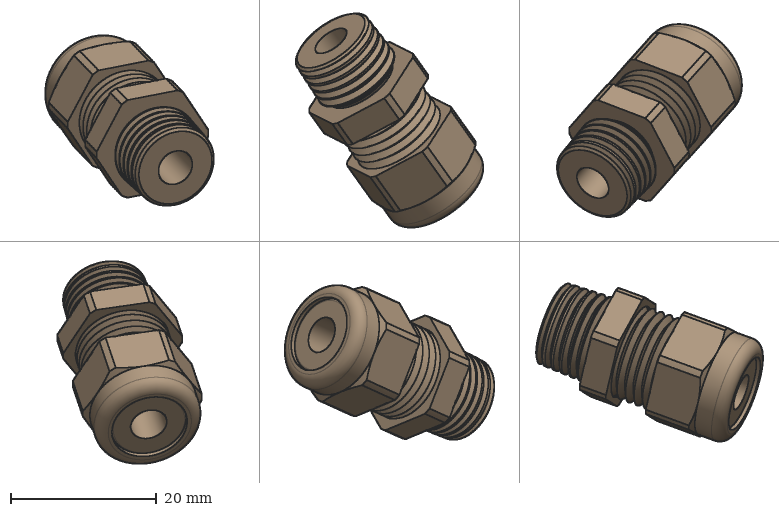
import cadquery as cq
import math


total_length = 28.95
across_flats = 15.0
across_corners = 16.77
bore_diameter = 5.07
cut_margin = 0.3

dome_fillet = 1.65
dome_length = 4.1
nut_end = 11.12
corner_chamfer_angle = 30.0

collar_start = 17.12
collar_length = 3.97

flank_angle = 60.0

nut_thread_pitch = 1.27
nut_thread_root_radius = 5.53
nut_thread_ridges = 6

entry_pitch = 1.3
entry_root_radius = 5.18
entry_ridges = 6
entry_neck_radius = 5.13
entry_first_root = 21.72
entry_lip_radius = 5.33
entry_lip_x = 21.55
taper_start_radius = 6.2
taper_end_radius = 5.9
end_chamfer_length = 0.32
end_chamfer_depth = 0.43

seal_diameter = 10.6
seal_recess = 0.52
seal_fillet = 0.25

hex_radius = across_flats / 2
corner_radius = across_corners / 2
collar_end = collar_start + collar_length
nut_thread_first_root = nut_end - nut_thread_pitch / 2


def cylinder(x_start, x_end, diameter):
    """Round bar along X."""
    return cq.Workplane("YZ", origin=(x_start, 0, 0)).circle(diameter / 2).extrude(x_end - x_start)


def revolve_profile(points):
    """Solid of revolution about X from (x, radius) points."""
    return cq.Workplane("XY").polyline(points).close().revolve(360, (0, 0, 0), (1, 0, 0))


def hex_prism(x_start, x_end):
    """Hex bar along X with flats facing up and down and trimmed corners."""
    sharp_corners = across_flats / math.cos(math.radians(30))
    prism = cq.Workplane("YZ", origin=(x_start, 0, 0)).polygon(6, sharp_corners).extrude(x_end - x_start)
    return prism.intersect(cylinder(x_start, x_end, across_corners))


def ridge_crest_radius(pitch, root_radius):
    """Radius of a sharp crest between two roots one pitch apart."""
    return root_radius + pitch / 2 * math.tan(math.radians(flank_angle))


def ridge_points(first_root, pitch, count, root_radius):
    """Roots and sharp crests of a row of thread ridges, as (x, radius) points."""
    crest_radius = ridge_crest_radius(pitch, root_radius)
    points = [(first_root, root_radius)]
    for ridge in range(count):
        root_x = first_root + ridge * pitch
        points.append((root_x + pitch / 2, crest_radius))
        points.append((root_x + pitch, root_radius))
    return points


def make_dome():
    dome = cylinder(0, dome_length, across_flats)
    return dome.faces("<X").edges().fillet(dome_fillet)


def make_nut_hex():
    """Hex of the nut, its front corners sloped down to the dome."""
    rise = corner_radius - hex_radius
    slope_length = rise * math.tan(math.radians(corner_chamfer_angle))
    envelope = revolve_profile([
        (dome_length, 0),
        (dome_length, hex_radius),
        (dome_length + slope_length, corner_radius),
        (nut_end, corner_radius),
        (nut_end, 0),
    ])
    return hex_prism(dome_length, nut_end).intersect(envelope)


def make_nut_thread():
    """Ridged thread whose first crest lies on the back face of the nut."""
    ridges = ridge_points(
        nut_thread_first_root, nut_thread_pitch, nut_thread_ridges, nut_thread_root_radius
    )
    last_root_x = ridges[-1][0]
    return revolve_profile([(nut_thread_first_root, 0)] + ridges + [(last_root_x, 0)])


def make_collar():
    """Hex collar; the last groove of the nut thread runs into its front face."""
    groove_root_x = nut_thread_first_root + (nut_thread_ridges - 1) * nut_thread_pitch
    crest_radius = ridge_crest_radius(nut_thread_pitch, nut_thread_root_radius)
    last_groove = revolve_profile([
        (groove_root_x - nut_thread_pitch / 2, crest_radius),
        (groove_root_x, nut_thread_root_radius),
        (groove_root_x + nut_thread_pitch / 2, crest_radius),
    ])
    return hex_prism(collar_start, collar_end).cut(last_groove)


def make_entry_thread():
    """Flared neck and ridged thread, with crests trimmed by a slight taper and a chamfered end."""
    ridges = ridge_points(entry_first_root, entry_pitch, entry_ridges, entry_root_radius)
    last_root_x = ridges[-1][0]
    thread = (
        cq.Workplane("XY")
        .moveTo(collar_end - cut_margin, entry_neck_radius)
        .lineTo(collar_end, entry_neck_radius)
        .tangentArcPoint((entry_lip_x, entry_lip_radius), relative=False)
        .polyline(ridges + [(last_root_x, 0), (collar_end - cut_margin, 0)], includeCurrent=True)
        .close()
        .revolve(360, (0, 0, 0), (1, 0, 0))
    )
    envelope = revolve_profile([
        (collar_end, 0),
        (collar_end, taper_start_radius),
        (total_length - end_chamfer_length, taper_end_radius),
        (total_length, taper_end_radius - end_chamfer_depth),
        (total_length, 0),
    ])
    return thread.intersect(envelope)


def make_housing():
    housing = (
        make_dome()
        .union(make_nut_hex())
        .union(make_nut_thread())
        .union(make_collar())
        .union(make_entry_thread())
    )
    seal_seat = cylinder(-cut_margin, nut_end, seal_diameter)
    cable_bore = cylinder(0, total_length + cut_margin, bore_diameter)
    return housing.cut(seal_seat).cut(cable_bore)


def make_seal():
    """Sleeve filling the seat, its outer front edge rounded."""
    seal = cylinder(seal_recess, nut_end, seal_diameter)
    seal = seal.faces("<X").edges().fillet(seal_fillet)
    return seal.cut(cylinder(0, total_length, bore_diameter))


housing = make_housing()
seal = make_seal()

result = cq.Compound.makeCompound([housing.solids().val(), seal.solids().val()])